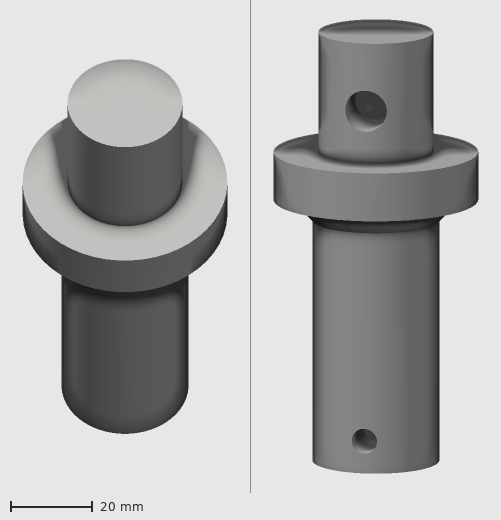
import cadquery as cq

total_height = 107.0
shank_diameter = 31.0
flange_diameter = 50.0
spigot_diameter = 28.0

spigot_height = 30.0
flange_thickness = 12.0
cone_height = 5.0

spigot_hole_diameter = 10.3
shank_hole_diameter = 6.2
shank_hole_z = 8.0
spigot_hole_above_flange = 13.1

flange_top_z = total_height - spigot_height
flange_bottom_z = flange_top_z - flange_thickness
cone_bottom_z = flange_bottom_z - cone_height
spigot_hole_z = flange_top_z + spigot_hole_above_flange

shank_radius = shank_diameter / 2
flange_radius = flange_diameter / 2
spigot_radius = spigot_diameter / 2
cone_top_radius = shank_radius + cone_height


def turned_body():
    """Shank, cone, flange and spigot, revolved about Z."""
    half_section = [
        (0, 0),
        (shank_radius, 0),
        (shank_radius, cone_bottom_z),
        (cone_top_radius, flange_bottom_z),
        (flange_radius, flange_bottom_z),
        (flange_radius, flange_top_z),
        (spigot_radius, flange_top_z),
        (spigot_radius, total_height),
        (0, total_height),
    ]
    profile = cq.Workplane("XZ").polyline(half_section).close()
    return profile.revolve(360, (0, 0, 0), (0, 1, 0))


def radial_hole(diameter, z, outer_radius):
    """Cutter from the Z axis out through the +Y surface."""
    return (
        cq.Workplane("XZ")
        .center(0, z)
        .circle(diameter / 2)
        .extrude(-outer_radius)
    )


result = (
    turned_body()
    .cut(radial_hole(spigot_hole_diameter, spigot_hole_z, spigot_radius))
    .cut(radial_hole(shank_hole_diameter, shank_hole_z, shank_radius))
)